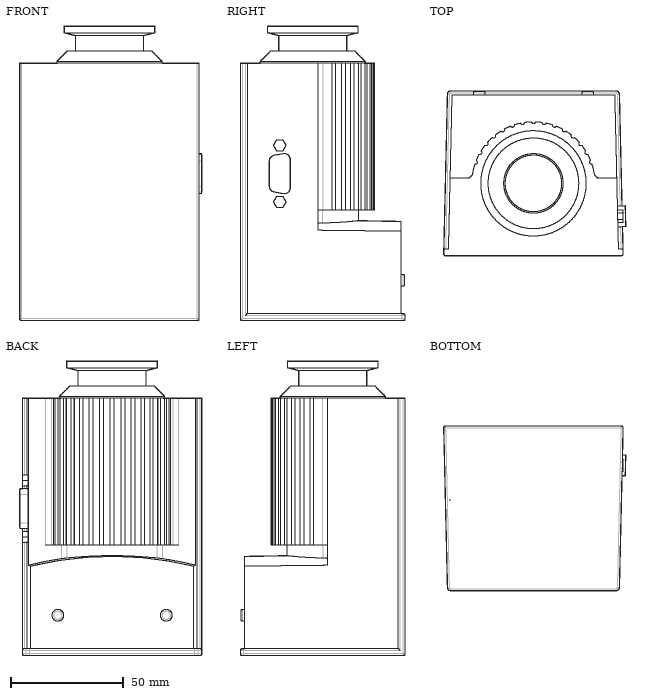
import cadquery as cq
import math

FRONT_Y = -32.1
BACK_Y = 40.9
FRONT_HALF_WIDTH = 39.8
BACK_HALF_WIDTH = 38.0
HOUSING_TOP = 113.9

PLATE_THICKNESS = 3.1
OUTER_ROUND = 0.9
BACK_CORNER_ROUND = 1.5

BODY_SIDE_INSET = 2.1
BODY_BACK_INSET = 1.8
STEP_Y = 2.3
SHELF_CROWN_RADIUS = 151.2
SHELF_CROWN_Z = 44.6
SHELF_SLOPE_DEG = 1
CROWN_OVERHANG = 13

BOSS_RADIUS = 27.2
BOSS_BOTTOM = 48.9
NECK_RADIUS = 20.3
NECK_BOTTOM = 41.7
BLEND_RADIUS = 2.6
GROOVE_RADIUS = 0.9
GROOVE_CENTER_RADIUS = 27.4
GROOVE_COUNT = 15
GROOVE_PITCH_DEG = 10

PORT_TOP = 130.4
FLANGE_RADIUS = 20.1
FLANGE_EDGE_BOTTOM = 127.4
FLANGE_BEVEL_BOTTOM = 126.0
TUBE_RADIUS = 15.1
CONE_TOP = 119.4
CONE_TOP_RADIUS = 18.6
COLLAR_RADIUS = 23.3
COLLAR_TOP = 114.7
RECESS_RADIUS = 13.2
RECESS_DEPTH = 3.0
BORE_RADIUS = 12.5
BORE_DEPTH = 13

CONNECTOR_OUTER_X = 40.8
CONNECTOR_ROOT_X = 35.2
CONNECTOR_CENTER_Z = 65.0
CONNECTOR_WIDE_Y = -10.0
CONNECTOR_NARROW_Y = -19.3
CONNECTOR_WIDE_HALF = 9.4
CONNECTOR_FLANK_DEG = 10
CONNECTOR_ROUND = 2.6
CONNECTOR_CENTER_Y = (CONNECTOR_WIDE_Y + CONNECTOR_NARROW_Y) / 2
JACK_NUT_SPACING = 25.0
JACK_NUT_DIAMETER = 5.6
JACK_NUT_OUTER_X = 39.6

SCREW_X = 24.0
SCREW_Z = 17.9
SCREW_RADIUS = 2.6
SCREW_HEIGHT = 1.5
SCREW_ROUND = 0.8


def half_width(y):
    """Half width of the housing outline at depth y."""
    fraction = (y - FRONT_Y) / (BACK_Y - FRONT_Y)
    return FRONT_HALF_WIDTH + fraction * (BACK_HALF_WIDTH - FRONT_HALF_WIDTH)


def tapered_prism(front_y, back_y, inset, bottom, top):
    """Prism between two depths, its sides inset from the housing outline."""
    front_half = half_width(front_y) - inset
    back_half = half_width(back_y) - inset
    corners = [
        (-front_half, front_y),
        (front_half, front_y),
        (back_half, back_y),
        (-back_half, back_y),
    ]
    return cq.Workplane("XY").workplane(offset=bottom).polyline(corners).close().extrude(top - bottom)


def make_shell():
    """Base plate and front plate with rounded rims; the top end stays sharp."""
    plate_back = FRONT_Y + PLATE_THICKNESS
    base = tapered_prism(FRONT_Y, BACK_Y, 0, 0, PLATE_THICKNESS)
    base = base.edges("|Z and >Y").fillet(BACK_CORNER_ROUND)
    front = tapered_prism(FRONT_Y, plate_back, 0, 0, HOUSING_TOP)
    shell = base.union(front).clean()
    inner_corner = cq.Vector(0, plate_back, PLATE_THICKNESS)

    def is_rim(edge):
        center = edge.Center()
        below_top = center.z < HOUSING_TOP - OUTER_ROUND
        at_inner_corner = (center - inner_corner).Length < OUTER_ROUND
        return below_top and not at_inner_corner

    return shell.edges().filter(is_rim).fillet(OUTER_ROUND)


def make_body():
    """Tall block in front of the step with a gently crowned shelf behind it."""
    body_back = BACK_Y - BODY_BACK_INSET
    tall = tapered_prism(FRONT_Y + PLATE_THICKNESS / 2, STEP_Y, BODY_SIDE_INSET, 0, HOUSING_TOP)
    low = tapered_prism(STEP_Y, body_back, BODY_SIDE_INSET, 0, SHELF_CROWN_Z)
    crown = (
        cq.Workplane("XZ", origin=(0, STEP_Y - CROWN_OVERHANG, SHELF_CROWN_Z - SHELF_CROWN_RADIUS))
        .circle(SHELF_CROWN_RADIUS)
        .extrude(-(body_back - STEP_Y + 2 * CROWN_OVERHANG))
        .rotate((0, STEP_Y, SHELF_CROWN_Z), (1, STEP_Y, SHELF_CROWN_Z), -SHELF_SLOPE_DEG)
    )
    return tall.union(low.intersect(crown))


def half_round(radius, bottom, top):
    """Half column behind the step, blended into the step wall by concave arcs."""
    arc_center_y = STEP_Y + BLEND_RADIUS
    arc_center_x = math.sqrt((radius + BLEND_RADIUS) ** 2 - arc_center_y**2)
    touch = radius / (radius + BLEND_RADIUS)
    touch_x = arc_center_x * touch
    touch_y = arc_center_y * touch
    end_angle = math.atan2(touch_y - arc_center_y, touch_x - arc_center_x) % (2 * math.pi)
    mid_angle = (end_angle + 1.5 * math.pi) / 2
    mid_x = arc_center_x + BLEND_RADIUS * math.cos(mid_angle)
    mid_y = arc_center_y + BLEND_RADIUS * math.sin(mid_angle)
    return (
        cq.Workplane("XY")
        .workplane(offset=bottom)
        .moveTo(-arc_center_x, 0)
        .lineTo(arc_center_x, 0)
        .lineTo(arc_center_x, STEP_Y)
        .threePointArc((mid_x, mid_y), (touch_x, touch_y))
        .threePointArc((0, radius), (-touch_x, touch_y))
        .threePointArc((-mid_x, mid_y), (-arc_center_x, STEP_Y))
        .close()
        .extrude(top - bottom)
    )


def make_boss():
    """Boss with evenly spaced grip grooves, standing on a plain neck."""
    first_angle = 90 - GROOVE_PITCH_DEG * (GROOVE_COUNT - 1) / 2
    angles = [math.radians(first_angle + i * GROOVE_PITCH_DEG) for i in range(GROOVE_COUNT)]
    centers = [(GROOVE_CENTER_RADIUS * math.cos(a), GROOVE_CENTER_RADIUS * math.sin(a)) for a in angles]
    grooves = (
        cq.Workplane("XY")
        .workplane(offset=BOSS_BOTTOM)
        .pushPoints(centers)
        .circle(GROOVE_RADIUS)
        .extrude(HOUSING_TOP - BOSS_BOTTOM)
    )
    boss = half_round(BOSS_RADIUS, BOSS_BOTTOM, HOUSING_TOP).cut(grooves)
    neck = half_round(NECK_RADIUS, NECK_BOTTOM, BOSS_BOTTOM)
    return boss.union(neck)


def make_port():
    """Turned flange with a stepped blind bore."""
    recess_bottom = PORT_TOP - RECESS_DEPTH
    bore_bottom = PORT_TOP - BORE_DEPTH
    profile = [
        (0, HOUSING_TOP),
        (COLLAR_RADIUS, HOUSING_TOP),
        (COLLAR_RADIUS, COLLAR_TOP),
        (CONE_TOP_RADIUS, CONE_TOP),
        (TUBE_RADIUS, CONE_TOP),
        (TUBE_RADIUS, FLANGE_BEVEL_BOTTOM),
        (FLANGE_RADIUS, FLANGE_EDGE_BOTTOM),
        (FLANGE_RADIUS, PORT_TOP),
        (RECESS_RADIUS, PORT_TOP),
        (RECESS_RADIUS, recess_bottom),
        (BORE_RADIUS, recess_bottom),
        (BORE_RADIUS, bore_bottom),
        (0, bore_bottom),
    ]
    return cq.Workplane("XZ").polyline(profile).close().revolve(360, (0, 0, 0), (0, 1, 0))


def make_connector():
    """D-shaped connector, its wide side toward the back, between its jack nuts."""
    depth = CONNECTOR_WIDE_Y - CONNECTOR_NARROW_Y
    narrow_half = CONNECTOR_WIDE_HALF - depth * math.tan(math.radians(CONNECTOR_FLANK_DEG))
    corners = [
        (CONNECTOR_WIDE_Y, -CONNECTOR_WIDE_HALF),
        (CONNECTOR_WIDE_Y, CONNECTOR_WIDE_HALF),
        (CONNECTOR_NARROW_Y, narrow_half),
        (CONNECTOR_NARROW_Y, -narrow_half),
    ]
    origin = (CONNECTOR_ROOT_X, 0, CONNECTOR_CENTER_Z)
    shell = (
        cq.Workplane("YZ", origin=origin)
        .polyline(corners)
        .close()
        .extrude(CONNECTOR_OUTER_X - CONNECTOR_ROOT_X)
        .edges("|X")
        .fillet(CONNECTOR_ROUND)
    )
    nut_z = JACK_NUT_SPACING / 2
    nuts = (
        cq.Workplane("YZ", origin=origin)
        .pushPoints([(CONNECTOR_CENTER_Y, -nut_z), (CONNECTOR_CENTER_Y, nut_z)])
        .polygon(6, JACK_NUT_DIAMETER)
        .extrude(JACK_NUT_OUTER_X - CONNECTOR_ROOT_X)
    )
    taper = math.degrees(math.atan2(FRONT_HALF_WIDTH - BACK_HALF_WIDTH, BACK_Y - FRONT_Y))
    pivot = (CONNECTOR_ROOT_X, CONNECTOR_CENTER_Y, 0)
    pivot_up = (CONNECTOR_ROOT_X, CONNECTOR_CENTER_Y, 1)
    return shell.union(nuts).rotate(pivot, pivot_up, taper)


def make_screw_heads():
    """Pair of rounded screw heads on the back face."""
    return (
        cq.Workplane("XZ", origin=(0, BACK_Y - BODY_BACK_INSET, SCREW_Z))
        .pushPoints([(-SCREW_X, 0), (SCREW_X, 0)])
        .circle(SCREW_RADIUS)
        .extrude(-SCREW_HEIGHT)
        .faces(">Y")
        .edges()
        .fillet(SCREW_ROUND)
    )


result = (
    make_shell()
    .union(make_body())
    .union(make_boss())
    .union(make_port())
    .union(make_connector())
    .union(make_screw_heads())
)